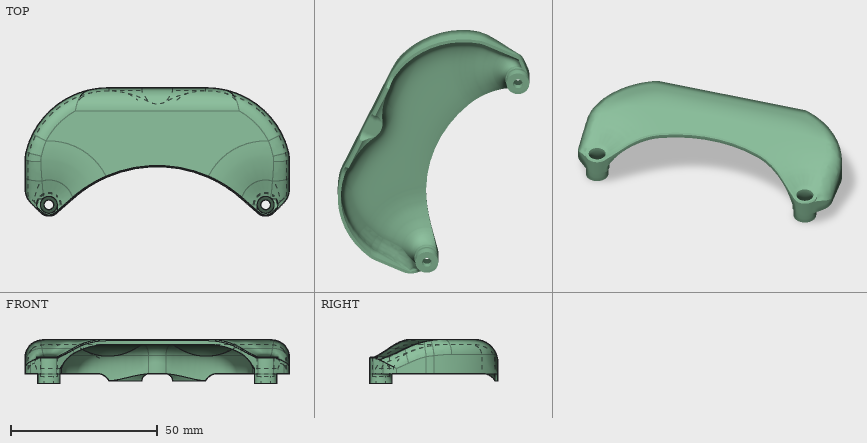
import cadquery as cq
import math

half_width = 45.0
depth = 43.7
top_z = 11.7
tolerance = 0.01
wall = 1.1
roof = 1.8
trim_y = -46.8

corner_radius = 28.8
corner_x = 16.7
blend_radius = 10.8
outer_round = 5.1
inner_round = 3.6
back_round = 7.9
pillar_radius = 6.0

post_x = 36.9
post_radius = 3.9
post_y = -depth + post_radius
post_bottom = -3.3
pad_margin = 0.3
hole_radius = 1.6
bore_radius = 2.9
bore_floor = -0.9

tip_corner_radius = 6.6
front_radius = 43.2
front_y = -26.9
front_edge_chamfer = 0.45
front_bow = 0.7

dip_outer = 21.8
dip_inner = 8.5
dip_drop = 3.15
dip_angle = 2 * math.atan(dip_drop / (dip_outer - dip_inner))
dip_radius = (dip_outer - dip_inner) / math.sin(dip_angle)
post_top = top_z - dip_drop - (dip_inner - bore_radius) * math.tan(dip_angle)

post_skirt_radius = 4.2
post_skirt_top = 1.8
post_skirt_bulge = 0.45

lip_depth = 2.5
lip_outer_x = 20.4
lip_outer_radius = 4.5
lip_inner_x = 2.7
lip_inner_radius = 2.5
lip_root_y = -5.0
lip_root_radius = 4.5


def both_sides(left):
    """Join a left-hand solid with its mirror image."""
    return left.union(left.mirror("YZ"))


def corner_points(inset):
    """Start, joint and end of the left back corner, with two arc midpoints."""
    big = corner_radius - inset
    small = blend_radius - inset
    blend_x = half_width - blend_radius
    gap = corner_radius - blend_radius
    rise = math.sqrt(gap ** 2 - (blend_x - corner_x) ** 2)
    blend_y = -corner_radius + rise
    joint_angle = math.pi - math.asin(rise / gap)

    def on_big(angle):
        return (-corner_x + big * math.cos(angle), -corner_radius + big * math.sin(angle))

    def on_small(angle):
        return (-blend_x + small * math.cos(angle), blend_y + small * math.sin(angle))

    start = on_big(math.pi / 2)
    big_middle = on_big((math.pi / 2 + joint_angle) / 2)
    joint = on_big(joint_angle)
    small_middle = on_small((joint_angle + math.pi) / 2)
    end = on_small(math.pi)
    return start, big_middle, joint, small_middle, end


def flip(point):
    return (-point[0], point[1])


def outer_outline():
    """Plan with a straight back edge and open-ended straight sides."""
    start, big_middle, joint, small_middle, end = corner_points(0)
    return (
        cq.Workplane("XY")
        .moveTo(*flip(start))
        .lineTo(*start)
        .threePointArc(big_middle, joint)
        .threePointArc(small_middle, end)
        .lineTo(-half_width, trim_y)
        .lineTo(half_width, trim_y)
        .lineTo(*flip(end))
        .threePointArc(flip(small_middle), flip(joint))
        .threePointArc(flip(big_middle), flip(start))
        .close()
    )


def cavity_outline():
    """Two round pockets concentric with the back corners, parted by the pillar."""
    start, _, joint, small_middle, end = corner_points(wall)
    radius = corner_radius - wall
    reach = radius + pillar_radius
    pillar_y = -corner_radius + math.sqrt(reach ** 2 - corner_x ** 2)
    pillar_joint = (
        -corner_x + corner_x * radius / reach,
        -corner_radius + (pillar_y + corner_radius) * radius / reach,
    )
    side = half_width - wall
    return (
        cq.Workplane("XY")
        .moveTo(*flip(pillar_joint))
        .threePointArc((0, pillar_y - pillar_radius), pillar_joint)
        .threePointArc(start, joint)
        .threePointArc(small_middle, end)
        .lineTo(-side, trim_y)
        .lineTo(side, trim_y)
        .lineTo(*flip(end))
        .threePointArc(flip(small_middle), flip(joint))
        .threePointArc(flip(start), flip(pillar_joint))
        .close()
    )


def dip_cutter(flat_z):
    """Left-hand cutter that sinks a roof of height flat_z around the post axis.

    Behind the axis it is a revolved bowl; in front of it the same profile runs straight on.
    """
    low_z = flat_z - dip_drop
    half = dip_angle / 2
    middle = (
        dip_outer - dip_radius * math.sin(half),
        flat_z - dip_radius * (1 - math.cos(half)),
    )
    profile = (
        cq.Workplane("XZ")
        .moveTo(0, low_z - dip_inner * math.tan(dip_angle))
        .lineTo(dip_inner, low_z)
        .threePointArc(middle, (dip_outer, flat_z))
        .lineTo(dip_outer, flat_z + 0.9)
        .lineTo(0, flat_z + 0.9)
        .close()
    )
    bowl = profile.revolve(180, (0, 0, 0), (0, 1, 0))
    run = profile.wires().toPending().extrude(post_y - trim_y + 0.9)
    return bowl.union(both_sides(run)).translate((-post_x, post_y, 0))


def on_outline_wall(edge, body):
    """True for a top edge where the roof meets a vertical outline wall."""
    box = edge.BoundingBox()
    if box.zmin < post_skirt_top or box.ymax < trim_y + tolerance:
        return False
    walls = [
        face
        for face in body.faces().vals()
        if face.BoundingBox().zmin < tolerance and any(edge.isSame(other) for other in face.Edges())
    ]
    return len(walls) == 1


def dome(outline, flat_z, edge_round):
    """Extrude an outline, sink its arms and round its outer top edge."""
    body = outline.extrude(flat_z).cut(both_sides(dip_cutter(flat_z)))
    top_edges = [edge for edge in body.edges().vals() if on_outline_wall(edge, body)]
    return body.newObject(top_edges).fillet(edge_round)


def back_cutter(flat_z):
    """Cutter for the larger rounding along the back, tangent to the roof at flat_z."""
    centre_y = -back_round
    centre_z = flat_z - back_round
    diagonal = back_round / math.sqrt(2)
    return (
        cq.Workplane("YZ")
        .moveTo(centre_y, flat_z)
        .threePointArc((centre_y + diagonal, centre_z + diagonal), (0, centre_z))
        .lineTo(0.9, centre_z)
        .lineTo(0.9, flat_z + 0.9)
        .lineTo(centre_y, flat_z + 0.9)
        .close()
        .extrude(half_width, both=True)
    )


def trim_outline():
    """Left half of the finished plan, with its sharp tip corner and outer post tangent point."""
    span = math.hypot(post_x, post_y - front_y + front_radius)
    lean = math.acos((front_radius + post_radius) / span)
    tangent_angle = math.atan2(post_y - front_y + front_radius, -post_x) - lean
    normal_x = math.cos(tangent_angle)
    normal_y = math.sin(tangent_angle)
    front_end = (front_radius * normal_x, front_y - front_radius + front_radius * normal_y)
    front_middle_angle = (tangent_angle + math.pi / 2) / 2
    front_middle = (
        front_radius * math.cos(front_middle_angle),
        front_y - front_radius + front_radius * math.sin(front_middle_angle),
    )
    post_inner = (-post_x - post_radius * normal_x, post_y - post_radius * normal_y)
    diagonal = post_radius / math.sqrt(2)
    post_outer = (-post_x - diagonal, post_y - diagonal)
    tip_corner = (-half_width, post_outer[1] + half_width + post_outer[0])
    plan = (
        cq.Workplane("XY")
        .moveTo(0, 0)
        .lineTo(-half_width, 0)
        .lineTo(*tip_corner)
        .lineTo(*post_outer)
        .threePointArc((-post_x, post_y - post_radius), post_inner)
        .lineTo(*front_end)
        .threePointArc(front_middle, (0, front_y))
        .close()
    )
    return plan, tip_corner, post_outer


def trim_block():
    """Prism of the finished plan, with the outer corner of each tip rounded."""
    plan, tip_corner, _ = trim_outline()
    block = plan.extrude(top_z)
    corner = cq.selectors.BoxSelector(
        (tip_corner[0] - 0.9, tip_corner[1] - 0.9, -0.9),
        (tip_corner[0] + 0.9, tip_corner[1] + 0.9, top_z + 0.9),
    )
    return both_sides(block.edges(corner).fillet(tip_corner_radius))


def post_keep_out():
    """Solid around the left post that the cavity must not enter."""
    flat_z = top_z - roof
    low_z = flat_z - dip_drop
    skirt_middle = (
        (post_skirt_radius + dip_inner) / 2 - post_skirt_bulge,
        (post_skirt_top + low_z) / 2 + post_skirt_bulge,
    )
    return (
        cq.Workplane("XZ")
        .lineTo(post_skirt_radius, 0)
        .lineTo(post_skirt_radius, post_skirt_top)
        .threePointArc(skirt_middle, (dip_inner, low_z))
        .lineTo(dip_inner, top_z)
        .lineTo(0, top_z)
        .close()
        .revolve(360, (0, 0, 0), (0, 1, 0))
        .translate((-post_x, post_y, 0))
    )


def tip_wall():
    """Solid that keeps the cavity one wall away from the slanted end of the left arm."""
    _, tip_corner, post_outer = trim_outline()
    shift = wall * math.sqrt(2)
    return (
        cq.Workplane("XY")
        .moveTo(tip_corner[0], tip_corner[1] + shift)
        .lineTo(post_outer[0], post_outer[1] + shift)
        .lineTo(post_outer[0], trim_y)
        .lineTo(tip_corner[0], trim_y)
        .close()
        .extrude(top_z)
    )


def is_front_top_edge(edge):
    """True for the roof edges along the concave front and around the post tips."""
    middle = edge.positionAt(0.5)
    front_gap = math.hypot(middle.x, middle.y - front_y + front_radius) - front_radius
    tip_gap = math.hypot(abs(middle.x) - post_x, middle.y - post_y) - post_radius
    on_front = abs(front_gap) < front_bow and abs(middle.x) < post_x - 0.9
    on_tip = abs(tip_gap) < tolerance and middle.y < post_y and edge.geomType() == "CIRCLE"
    return edge.BoundingBox().zmin > post_skirt_top and (on_front or on_tip)


def lip():
    """Left locating lip: its ends and its root are hollowed by concave arcs."""
    drop = lip_depth
    outer_reach = math.sqrt(lip_outer_radius ** 2 - (lip_outer_radius - drop) ** 2)
    root_reach = math.sqrt(lip_root_radius ** 2 - (lip_root_radius - drop) ** 2)
    inner_reach = math.sqrt(lip_inner_radius ** 2 - (lip_inner_radius - drop) ** 2)

    def sag(radius, reach):
        return math.sqrt(radius ** 2 - (reach / 2) ** 2) - radius

    face = (
        cq.Workplane("XZ")
        .moveTo(-lip_outer_x, 0)
        .threePointArc(
            (-lip_outer_x + outer_reach / 2, sag(lip_outer_radius, outer_reach)),
            (-lip_outer_x + outer_reach, -drop),
        )
        .lineTo(-lip_inner_x - inner_reach, -drop)
        .threePointArc(
            (-lip_inner_x - inner_reach / 2, sag(lip_inner_radius, inner_reach)),
            (-lip_inner_x, 0),
        )
        .close()
        .extrude(-lip_root_y)
    )
    section = (
        cq.Workplane("YZ")
        .moveTo(0, 0)
        .lineTo(0, -drop)
        .lineTo(lip_root_y + root_reach, -drop)
        .threePointArc(
            (lip_root_y + root_reach / 2, sag(lip_root_radius, root_reach)),
            (lip_root_y, 0),
        )
        .close()
        .extrude(-half_width)
    )
    plan = outer_outline().extrude(-drop).cut(cavity_outline().extrude(-drop))
    return face.intersect(section).intersect(plan)


def post_pad():
    """Flat seat that fills the bottom of the left bowl around the post axis."""
    return (
        cq.Workplane("XY", origin=(-post_x, post_y, 0))
        .circle(post_radius + pad_margin)
        .extrude(post_top)
    )


def post_solid():
    """Left post reaching from inside the arm to below the shell."""
    return (
        cq.Workplane("XY", origin=(-post_x, post_y, post_bottom))
        .circle(post_radius)
        .extrude(post_skirt_top - post_bottom)
    )


def post_drill():
    """Screw hole with its counterbore sunk from above."""
    hole = (
        cq.Workplane("XY", origin=(-post_x, post_y, post_bottom))
        .circle(hole_radius)
        .extrude(top_z - post_bottom)
    )
    bore = (
        cq.Workplane("XY", origin=(-post_x, post_y, bore_floor))
        .circle(bore_radius)
        .extrude(top_z - bore_floor)
    )
    return hole.union(bore)


shell = dome(outer_outline(), top_z, outer_round)
shell = shell.cut(back_cutter(top_z))
shell = shell.union(both_sides(post_pad()))
shell = shell.intersect(trim_block())

front_edges = [edge for edge in shell.edges().vals() if is_front_top_edge(edge)]
shell = shell.newObject(front_edges).chamfer(front_edge_chamfer)

cavity = dome(cavity_outline(), top_z - roof, inner_round)
cavity = cavity.cut(back_cutter(top_z - roof))
cavity = cavity.cut(both_sides(post_keep_out()))
cavity = cavity.cut(both_sides(tip_wall()))

result = shell.cut(cavity)
result = result.union(both_sides(lip()))
result = result.union(both_sides(post_solid()))
result = result.cut(both_sides(post_drill())).clean()